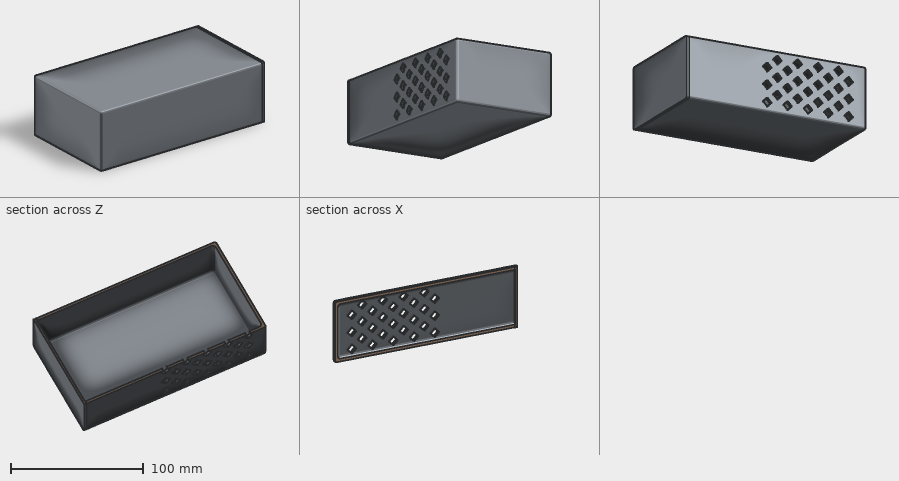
import cadquery as cq
width = 85.0
length = 154.0
height = 50.0
edge_radius = 2.0

lid_thickness = 2.0
wall = 2.5
cavity_radius = 2.5
front_y = -length / 2
lid_front_y = length / 2 - lid_thickness

vent_side = 5.1
vent_columns = 9
vent_rows = 6
vent_field_length = 69.9
vent_field_height = 35.0
vent_center_y = -27.0
vent_center_z = 0.5
vent_column_pitch = vent_field_length / (vent_columns - 1)
vent_row_pitch = vent_field_height / (vent_rows - 1)


def box_along_y(size_x, size_z, start_y, end_y):
    """Box centred in X and Z that runs between two Y positions."""
    return (
        cq.Workplane("XY")
        .box(size_x, end_y - start_y, size_z)
        .translate((0, (start_y + end_y) / 2, 0))
    )


def vent_centers():
    """(Y, Z) centres of the staggered vents; the front column has the bottom row."""
    first_y = vent_center_y - vent_field_length / 2
    first_z = vent_center_z - vent_field_height / 2
    return [
        (first_y + column * vent_column_pitch, first_z + row * vent_row_pitch)
        for column in range(vent_columns)
        for row in range(vent_rows)
        if (column + row) % 2 == 0
    ]


def make_vent_cutter():
    """Square prisms turned onto a corner, as deep as the -X wall."""
    return (
        cq.Workplane("YZ", origin=(-width / 2, 0, 0))
        .pushPoints(vent_centers())
        .polygon(4, vent_side * 2 ** 0.5)
        .extrude(wall)
    )


def make_housing():
    """Rounded box, open at the back, with a vented side wall."""
    body = box_along_y(width, height, front_y, lid_front_y)
    body = body.edges("|Y or <Y").fillet(edge_radius)
    cavity = box_along_y(width - 2 * wall, height - 2 * wall, front_y + wall, lid_front_y)
    cavity = cavity.edges("|Y or <Y").fillet(cavity_radius)
    return body.cut(cavity).cut(make_vent_cutter())


def make_lid():
    """Flat plate that continues the housing outline and closes the back."""
    plate = box_along_y(width, height, lid_front_y, length / 2)
    return plate.edges("|Y").fillet(edge_radius)


housing = make_housing()
lid = make_lid()

result = cq.Compound.makeCompound([housing.val(), lid.val()])